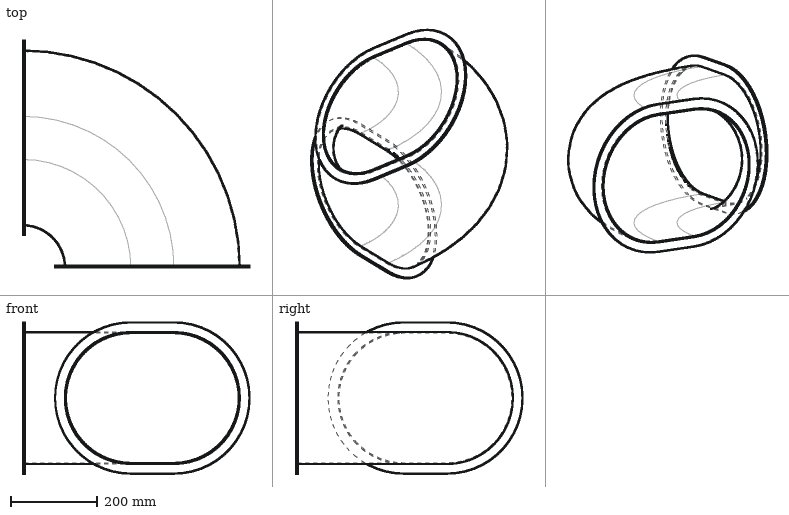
import cadquery as cq

overall_size = 525.5
flange_height = 351.0
straight_length = 100.0

flange_rim = 22.5
flange_thickness = 4.5
wall = 2.5
bend_angle = 90

duct_height = flange_height - 2 * flange_rim
bore_height = duct_height - 2 * wall
flange_width = flange_height + straight_length
bend_radius = overall_size - flange_width / 2


def oval(height):
    """Flat-sided oval in the XZ plane, centred on the bend radius."""
    return (
        cq.Workplane("XZ")
        .center(bend_radius, 0)
        .slot2D(straight_length + height, height)
    )


def swept_oval(height):
    """Oval bar bent from the +X axis to the +Y axis."""
    axis_start = (-bend_radius, 0)
    axis_end = (-bend_radius, 1)
    return oval(height).revolve(bend_angle, axis_start, axis_end)


def make_elbow():
    """Hollow oval duct whose ends are flush with the flange faces."""
    return swept_oval(duct_height).cut(swept_oval(bore_height))


def make_flanges():
    """Two oval rings, one around each end of the duct."""
    plate = oval(flange_height).extrude(-flange_thickness)
    inlet = plate.cut(swept_oval(duct_height))
    outlet = inlet.mirror("YZ").rotate((0, 0, 0), (0, 0, 1), -bend_angle)
    return [inlet.val(), outlet.val()]


elbow = make_elbow()
flanges = make_flanges()

result = cq.Compound.makeCompound([elbow.val(), *flanges])